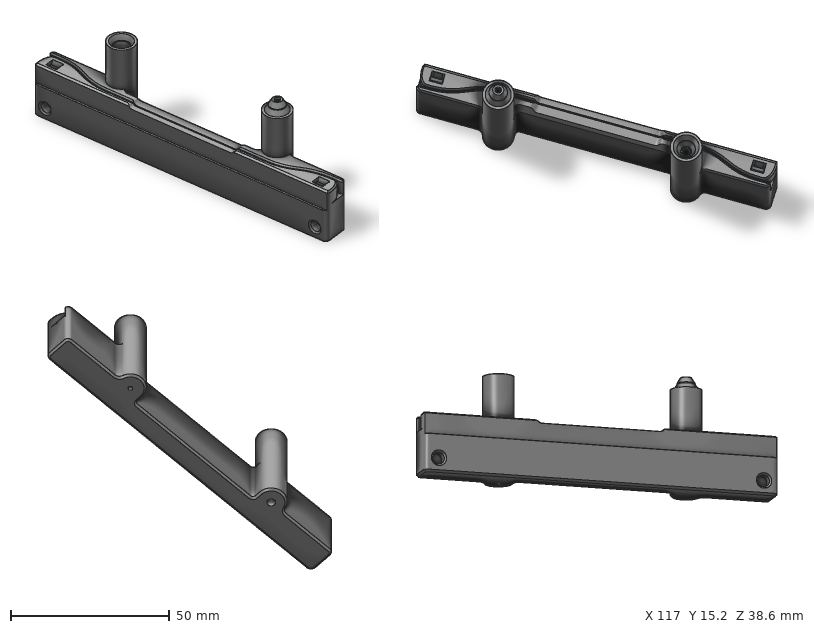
import cadquery as cq
import math

half_length = 58.5
overall_depth = 15.2
overall_height = 38.6
wing_depth = 10.2
waist_depth = 7.1
body_top = 19.5
front_corner_radius = 2.0
back_corner_radius = 1.8
waist_corner_radius = 1.2
bottom_chamfer = 0.7
top_chamfer = 0.53

ledge_depth = 0.7
ledge_height = 12.4
front_bevel_width = 0.8
front_bevel_height = 0.5

waist_top = 18.4
ramp_start = 19.4
ramp_end = 22.0
lower_bevel_height = 0.9
lower_bevel_width = 0.9
upper_bevel_width = 0.7

post_x = 31.0
post_radius = 5.0
post_y = overall_depth - post_radius
post_top = 34.6
post_blend_radius = 2.0
post_inner_x = post_x - post_radius

tip_base_radius = 4.1
tip_neck_radius = 2.9
tip_end_radius = 1.8
tip_neck_start = 1.8
tip_neck_end = 2.1
tip_height = overall_height - post_top
spigot_bore_radius = 0.7
spigot_mouth_radius = 1.0
socket_bore_radius = 1.35

groove_width = 0.5
groove_floor = 14.4
groove_middle_y = 3.0
groove_end_y = 8.13
bend_start_x = 32.2
bend_end_x = 53.8
mouth_front_y = 2.7
mouth_length = 3.0
mouth_back_radius = 0.9

pocket_x = 53.0
pocket_width = 4.2
pocket_front_y = 2.5
pocket_back_y = 6.0
pocket_floor_front_y = 3.9
pocket_floor_back_y = 5.0
pocket_depth = 1.4
pocket_ramp_width = 2.8
pocket_ramp_recess = 0.4

screw_x = 53.7
screw_z = 4.62
screw_radius = 1.93
screw_mouth_radius = 2.52
screw_depth = 3.5

OVERCUT = 1.2


def polar(center, radius, degrees):
    angle = math.radians(degrees)
    return (center[0] + radius * math.cos(angle), center[1] + radius * math.sin(angle))


def s_curve(run, rise):
    """Radius and sweep (degrees) of the two equal arcs of an S with level ends."""
    radius = (run**2 + rise**2) / (4 * rise)
    sweep = math.degrees(math.asin(run / (2 * radius)))
    return radius, sweep


def body_half():
    """Right half of the body: its plan outline carried to full height."""
    front_corner_x = half_length - front_corner_radius
    front_corner = (front_corner_x, front_corner_radius)
    back_corner_x = half_length - back_corner_radius
    back_corner_y = wing_depth - back_corner_radius
    back_corner = (back_corner_x, back_corner_y)

    post = (post_x, post_y)
    blend_reach = post_radius + post_blend_radius
    blend_angle = math.degrees(math.asin((wing_depth + post_blend_radius - post_y) / blend_reach))
    blend = polar(post, blend_reach, blend_angle)

    waist_corner_x = post_inner_x - waist_corner_radius
    waist_corner_y = waist_depth + waist_corner_radius
    waist_corner = (waist_corner_x, waist_corner_y)

    return (
        cq.Workplane("XY")
        .lineTo(front_corner_x, 0)
        .threePointArc(polar(front_corner, front_corner_radius, -45), (half_length, front_corner_radius))
        .lineTo(half_length, back_corner_y)
        .threePointArc(polar(back_corner, back_corner_radius, 45), (back_corner_x, wing_depth))
        .lineTo(blend[0], wing_depth)
        .threePointArc(
            polar(blend, post_blend_radius, (270 + 180 + blend_angle) / 2),
            polar(post, post_radius, blend_angle),
        )
        .threePointArc(polar(post, post_radius, (blend_angle + 180) / 2), (post_inner_x, post_y))
        .lineTo(post_inner_x, waist_corner_y)
        .threePointArc(polar(waist_corner, waist_corner_radius, -45), (waist_corner_x, waist_depth))
        .lineTo(0, waist_depth)
        .close()
        .extrude(body_top)
    )


def front_ledge():
    """Cutter that sets the upper front face back and bevels its top edge."""
    return (
        cq.Workplane("YZ", origin=(-half_length - OVERCUT, 0, 0))
        .moveTo(-OVERCUT, ledge_height)
        .lineTo(ledge_depth, ledge_height)
        .lineTo(ledge_depth, body_top - front_bevel_height)
        .lineTo(ledge_depth + front_bevel_width, body_top)
        .lineTo(-OVERCUT, body_top)
        .close()
        .extrude(2 * (half_length + OVERCUT))
    )


def lowered_top_half():
    """Cutter over the waist; its end rises as an S of two equal arcs."""
    radius, sweep = s_curve(ramp_end - ramp_start, body_top - waist_top)
    middle = ((ramp_start + ramp_end) / 2, (waist_top + body_top) / 2)
    return (
        cq.Workplane("XZ")
        .moveTo(0, waist_top)
        .lineTo(ramp_start, waist_top)
        .threePointArc(polar((ramp_start, waist_top + radius), radius, sweep / 2 - 90), middle)
        .threePointArc(
            polar((ramp_end, body_top - radius), radius, sweep / 2 + 90),
            (ramp_end, body_top),
        )
        .lineTo(ramp_end, body_top + OVERCUT)
        .lineTo(0, body_top + OVERCUT)
        .close()
        .extrude(-waist_depth - OVERCUT)
    )


def waist_bevel(bottom, top, offset, width):
    """Flaring cutter for the back edge of the waist and its inner corners.

    It starts at the given offset inside the waist outline and flares by width.
    """
    reach = 2 * post_radius
    recess = (
        cq.Sketch()
        .rect(2 * (post_inner_x + offset), reach + 2 * offset)
        .vertices()
        .fillet(waist_corner_radius + offset)
    )
    flare = math.degrees(math.atan(width / (top - bottom)))
    return (
        cq.Workplane("XY", origin=(0, waist_depth + reach / 2, bottom))
        .placeSketch(recess)
        .extrude(top - bottom, taper=-flare)
    )


def groove_outline(z, growth):
    """Right half of the groove plan at height z, every wall moved outward by growth."""
    half_width = groove_width / 2 + growth
    radius, sweep = s_curve(bend_end_x - bend_start_x, groove_end_y - groove_middle_y)
    start_center = (bend_start_x, groove_middle_y + radius)
    end_center = (bend_end_x, groove_end_y - radius)

    def start_arc(side, degrees):
        return polar(start_center, radius - side * half_width, degrees - 90)

    def end_arc(side, degrees):
        return polar(end_center, radius + side * half_width, degrees + 90)

    mouth_start_x = half_length - mouth_length
    mouth_radius_x = mouth_length - growth
    mouth_radius_y = groove_end_y - half_width - mouth_front_y
    back_mouth_y = groove_end_y + groove_width / 2 + mouth_back_radius
    back_mouth = (half_length - mouth_back_radius, back_mouth_y)
    back_mouth_radius = mouth_back_radius - growth
    outside_x = half_length + OVERCUT

    return (
        cq.Workplane("XY", origin=(0, 0, z))
        .moveTo(0, groove_middle_y - half_width)
        .lineTo(*start_arc(-1, 0))
        .threePointArc(start_arc(-1, sweep / 2), start_arc(-1, sweep))
        .threePointArc(end_arc(-1, sweep / 2), end_arc(-1, 0))
        .lineTo(mouth_start_x, groove_end_y - half_width)
        .ellipseArc(mouth_radius_x, mouth_radius_y, 0, 90, sense=-1)
        .lineTo(outside_x, mouth_front_y)
        .lineTo(outside_x, back_mouth_y)
        .lineTo(*polar(back_mouth, back_mouth_radius, 0))
        .threePointArc(polar(back_mouth, back_mouth_radius, -45), polar(back_mouth, back_mouth_radius, -90))
        .lineTo(*end_arc(1, 0))
        .threePointArc(end_arc(1, sweep / 2), end_arc(1, sweep))
        .threePointArc(start_arc(1, sweep / 2), start_arc(1, 0))
        .lineTo(0, groove_middle_y + half_width)
        .close()
    )


def groove_half():
    return groove_outline(groove_floor, 0).extrude(body_top - groove_floor)


def groove_chamfer_half():
    lower = groove_outline(body_top - top_chamfer, 0).val()
    upper = groove_outline(body_top, top_chamfer).val()
    return cq.Workplane(cq.Solid.makeLoft([lower, upper], True))


def pocket_prism(width, profile):
    """Prism centred on a pocket; the profile holds (Y, height above the body top) points."""
    return (
        cq.Workplane("YZ", origin=(pocket_x - width / 2, 0, body_top))
        .polyline(profile)
        .close()
        .extrude(width)
    )


def latch_pocket():
    """Pocket with sloping front and back walls and a recessed strip in the front wall."""
    pocket = pocket_prism(pocket_width, [
        (pocket_front_y, 0),
        (pocket_floor_front_y, -pocket_depth),
        (pocket_floor_back_y, -pocket_depth),
        (pocket_back_y, 0),
    ])
    ramp = pocket_prism(pocket_ramp_width, [
        (pocket_front_y, 0),
        (pocket_front_y, -pocket_ramp_recess),
        (pocket_floor_front_y, -pocket_depth - pocket_ramp_recess),
        (pocket_floor_front_y, 0),
    ])
    return pocket.union(ramp)


def screw_hole():
    """Blind hole with a conical mouth, bored from the front face."""
    mouth_depth = screw_mouth_radius - screw_radius
    return (
        cq.Workplane("XY")
        .polyline([
            (0, 0),
            (screw_mouth_radius, 0),
            (screw_radius, mouth_depth),
            (screw_radius, screw_depth),
            (0, screw_depth),
        ])
        .close()
        .revolve(360, (0, 0), (0, 1))
        .translate((screw_x, 0, screw_z))
    )


def post():
    height = post_top - bottom_chamfer
    return cq.Workplane("XY", origin=(post_x, post_y, bottom_chamfer)).circle(post_radius).extrude(height)


def tip_shape(x, direction):
    """Two cones joined by a short straight neck, narrowing up (+1) or down (-1) from the post top."""
    return (
        cq.Workplane("XZ")
        .polyline([
            (0, 0),
            (tip_base_radius, 0),
            (tip_neck_radius, direction * tip_neck_start),
            (tip_neck_radius, direction * tip_neck_end),
            (tip_end_radius, direction * tip_height),
            (0, direction * tip_height),
        ])
        .close()
        .revolve(360, (0, 0), (0, 1))
        .translate((x, post_y, post_top))
    )


def bore(x, radius):
    return cq.Workplane("XY", origin=(x, post_y, 0)).circle(radius).extrude(overall_height)


def spigot_countersink():
    depth = spigot_mouth_radius - spigot_bore_radius
    bottom = cq.Vector(post_x, post_y, overall_height - depth)
    return cq.Workplane(cq.Solid.makeCone(spigot_bore_radius, spigot_mouth_radius, depth, bottom))


half = body_half()
half = half.faces("<Z").edges("not <X").chamfer(bottom_chamfer)
half = half.faces(">Z").edges("not <X").chamfer(top_chamfer)

for cutter in (
    front_ledge(),
    waist_bevel(waist_top - lower_bevel_height, waist_top, 0, lower_bevel_width),
    waist_bevel(waist_top, body_top, lower_bevel_width, upper_bevel_width),
    lowered_top_half(),
    groove_half(),
    groove_chamfer_half(),
    latch_pocket(),
    screw_hole(),
):
    half = half.cut(cutter)

half = half.union(post())
result = half.union(half.mirror("YZ"))

result = result.union(tip_shape(post_x, 1)).cut(tip_shape(-post_x, -1))
result = result.cut(bore(post_x, spigot_bore_radius)).cut(bore(-post_x, socket_bore_radius))
result = result.cut(spigot_countersink())